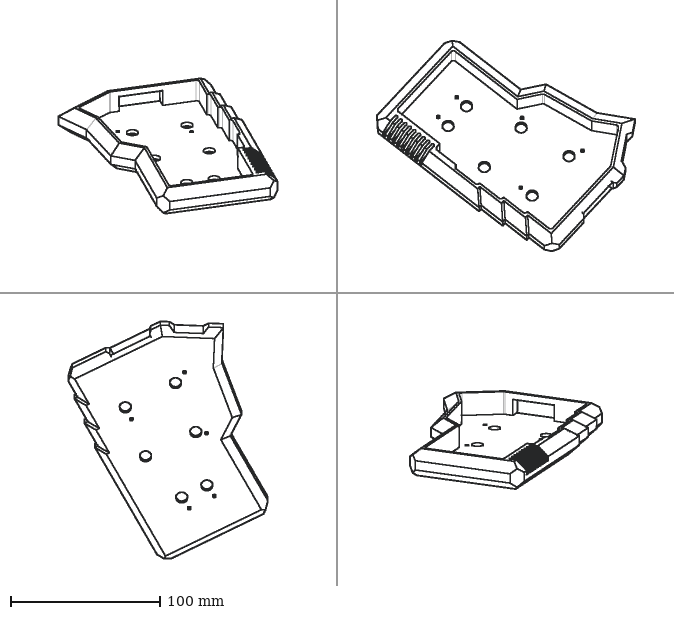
import cadquery as cq

length = 154.8
depth = 117.3
height = 18.7

lower_bevel_height = 5.7
lower_bevel_inset = 5.7
upper_bevel_height = 6.5
upper_bevel_inset = 7.6
waist_top = height - upper_bevel_height
waist_height = waist_top - lower_bevel_height

key_pitch = 19.0
first_step_x = 20.7
step_xs = [first_step_x + i * key_pitch for i in range(3)]
back_levels = [110.3, 112.7, 115.1, depth]

right_front_y = 33.1
left_corner = (0.0, 36.5)
thumb_tip = (21.4, 0.0)
thumb_knee = (44.0, 13.2)
wing_end = (83.4, 19.2)
wing_root = (93.8, right_front_y)
corner_cut = 7.1

floor_thickness = 3.0
lip_width = 1.9
wall = upper_bevel_inset + lip_width
cavity_corner_radius = 1.9
shoulder_x = 88.8
vent_wall_x = 107.2

vent_count = 9
vent_pitch = 4.0
vent_width = 2.0
first_vent_x = 110.2
vent_front_y = 103.8
vent_floor = height / 2

port_y_min = 45.7
port_y_max = 76.0
port_top = 14.1
port_flare = 1.9

recess_start = 6.0
recess_end = 32.3
recess_depth = 3.4

large_hole_diameter = 7.7
small_hole_diameter = 2.2
column_spacing = 2 * key_pitch
left_column_x = 40.1
middle_column_x = left_column_x + column_spacing
right_column_x = middle_column_x + column_spacing
left_column_y = 46.3
middle_column_y = 51.0
right_column_y = 62.8
large_holes = [
    (left_column_x, left_column_y),
    (left_column_x, left_column_y + column_spacing),
    (middle_column_x, middle_column_y),
    (middle_column_x, middle_column_y + column_spacing),
    (right_column_x, right_column_y),
    (right_column_x, right_column_y + key_pitch),
]
small_holes = [(35.9, 37.3), (49.7, 84.8), (82.3, 45.2), (125.5, 62.0), (125.5, 81.1)]


def closed_outline(back_points, z=0.0):
    """Outline that shares the front and sides, with its back side given from right to left."""
    front_points = [left_corner, thumb_tip, thumb_knee, wing_end, wing_root, (length, right_front_y)]
    return cq.Workplane("XY").workplane(offset=z).polyline(front_points + back_points).close()


def rising_steps():
    """Back side from the rightmost step down to the left end, without its right end."""
    points = []
    for i in reversed(range(len(step_xs))):
        points += [(step_xs[i], back_levels[i + 1]), (step_xs[i], back_levels[i])]
    return points + [(0.0, back_levels[0])]


def make_bevel(z_waist, z_face, inset):
    """Sloping slab with mitred corners, from the waist outline to the outline inset at its outer face."""
    back = [(length, depth)] + rising_steps()
    waist_outline = closed_outline(back, z_waist).val()
    face_outline = closed_outline(back, z_face).offset2D(-inset, "intersection").val()
    return cq.Workplane(cq.Solid.makeLoft([waist_outline, face_outline], True))


def make_shell():
    """Solid block with a mitred bevel above and below the waist band."""
    back = [(length, depth)] + rising_steps()
    waist = closed_outline(back, lower_bevel_height).extrude(waist_height)
    upper = make_bevel(waist_top, height, upper_bevel_inset)
    lower = make_bevel(lower_bevel_height, 0.0, lower_bevel_inset)
    return waist.union(upper).union(lower)


def make_corner_cuts():
    """Upright wedges that cut off the three square corners."""
    corners = [
        (0.0, back_levels[0], 1, -1),
        (length, depth, -1, -1),
        (length, right_front_y, -1, 1),
    ]
    wedges = cq.Workplane("XY")
    for x, y, x_dir, y_dir in corners:
        triangle = [(x, y), (x + x_dir * corner_cut, y), (x, y + y_dir * corner_cut)]
        wedges = wedges.add(cq.Workplane("XY").polyline(triangle).close().extrude(height))
    return wedges.combine()


def make_cavity():
    """Open pocket parallel to the outline, stepped forward at the right behind the vents."""
    vent_outline_x = vent_wall_x + wall
    shoulder_outline_x = shoulder_x + wall
    back = [
        (length, back_levels[0]),
        (vent_outline_x, back_levels[0]),
        (vent_outline_x, back_levels[2]),
        (shoulder_outline_x, back_levels[2]),
        (shoulder_outline_x, depth),
    ] + rising_steps()
    inset = closed_outline(back, floor_thickness).offset2D(-wall - cavity_corner_radius, "intersection")
    return inset.offset2D(cavity_corner_radius, "arc").extrude(height - floor_thickness)


def make_vents():
    """Row of round-ended slots that run out through the back."""
    centre_y = vent_front_y + vent_width / 2
    vents = cq.Workplane("XY")
    for i in range(vent_count):
        x = first_vent_x + i * vent_pitch
        slot = (
            cq.Workplane("XY")
            .workplane(offset=vent_floor)
            .moveTo(x - vent_width / 2, depth)
            .lineTo(x - vent_width / 2, centre_y)
            .threePointArc((x, vent_front_y), (x + vent_width / 2, centre_y))
            .lineTo(x + vent_width / 2, depth)
            .close()
            .extrude(height - vent_floor)
        )
        vents = vents.add(slot)
    return vents.combine()


def make_port():
    """Opening into the cavity, level with its floor, with a flared mouth."""
    profile = [
        (0.0, port_y_min - port_flare),
        (port_flare, port_y_min),
        (wall, port_y_min),
        (wall, port_y_max),
        (port_flare, port_y_max),
        (0.0, port_y_max + port_flare),
    ]
    port = cq.Workplane("XY").workplane(offset=floor_thickness).polyline(profile).close()
    return port.extrude(port_top - floor_thickness)


def make_recess():
    """Trapezoidal recess with 45 degree ends in the slanted side."""
    along = cq.Vector(thumb_tip[0] - left_corner[0], thumb_tip[1] - left_corner[1], 0)
    slanted_side = cq.Plane(origin=(*left_corner, 0), xDir=along, normal=(0, 0, 1))
    profile = [
        (recess_start, 0.0),
        (recess_start + recess_depth, recess_depth),
        (recess_end - recess_depth, recess_depth),
        (recess_end, 0.0),
    ]
    return cq.Workplane(slanted_side).polyline(profile).close().extrude(height)


def make_holes(centres, diameter):
    """Round holes through the floor."""
    return cq.Workplane("XY").pushPoints(centres).circle(diameter / 2).extrude(height)


result = (
    make_shell()
    .cut(make_corner_cuts())
    .cut(make_cavity())
    .cut(make_vents())
    .cut(make_port())
    .cut(make_recess())
    .cut(make_holes(large_holes, large_hole_diameter))
    .cut(make_holes(small_holes, small_hole_diameter))
)